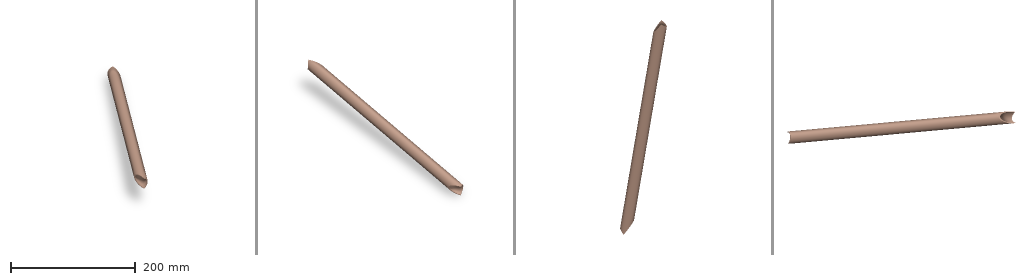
import cadquery as cq

tube_diameter = 20.0
wall = 1.0
axis_run_x = 318.0
axis_run_y = 169.3
axis_rise = 24.0
nose_tip = 326.0
nose_slant_x = 3.3
nose_slant_y = 9.8
start_x = 0.5
start_y = 169.5
overrun = 49.0

tube_radius = tube_diameter / 2
axis_start = cq.Vector(start_x, start_y, tube_radius)
axis_travel = cq.Vector(axis_run_x, -axis_run_y, axis_rise)
axis = axis_travel.normalized()

across = cq.Vector(0, 0, 1).cross(axis).normalized()
upward = axis.cross(across)
level_x = cq.Vector(1, 0, -upward.x / upward.z)
cut_plane = cq.Plane(origin=axis_start, xDir=level_x, normal=upward)


def tilted_cylinder(radius):
    """Cylinder along the tube axis, longer than the finished tube."""
    length = axis_travel.Length + 2 * overrun
    return cq.Solid.makeCylinder(radius, length, axis_start - axis * overrun, axis)


def end_cut_envelope():
    """Prism square to the cut plane whose sides are the end faces of the tube."""
    outline = [
        (0, 0),
        (0, -axis_run_y),
        (nose_tip, -axis_run_y),
        (nose_tip - nose_slant_x, nose_slant_y - axis_run_y),
        (nose_tip - nose_slant_x, 0),
    ]
    return cq.Workplane(cut_plane).polyline(outline).close().extrude(tube_diameter, both=True)


tube = tilted_cylinder(tube_radius).cut(tilted_cylinder(tube_radius - wall))
result = cq.Workplane(obj=tube).intersect(end_cut_envelope())